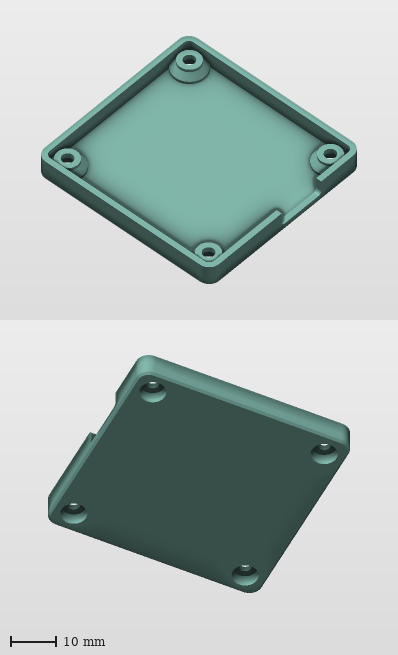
import cadquery as cq

length = 52.0
width = 50.0
height = 6.0
wall = 1.5
floor = 1.5
corner_radius = 3.0
bottom_chamfer = 0.5

boss_spacing_x = 42.0
boss_spacing_y = 40.0
boss_top_diameter = 6.0
boss_base_diameter = 9.0
boss_height = 3.0
boss_base_rim = 0.75
boss_top_rim = 0.8
hole_diameter = 3.0
head_recess_diameter = 6.0
seat_thickness = 1.45

notch_width = 13.0
notch_center_y = 5.0
notch_bottom = 2.0
notch_radius = 1.0

inner_length = length - 2 * wall
inner_width = width - 2 * wall


def rounded_block(size_x, size_y, base_z, block_height, radius):
    """Block centred on the Z axis with rounded vertical edges."""
    block = cq.Workplane("XY").workplane(offset=base_z).rect(size_x, size_y).extrude(block_height)
    return block.edges("|Z").fillet(radius)


def make_boss():
    """Stepped conical boss on the Z axis, continuing down into the floor."""
    top_z = floor + boss_height
    base_radius = boss_base_diameter / 2
    top_radius = boss_top_diameter / 2
    embedded_z = floor / 2
    profile = [
        (0, embedded_z),
        (base_radius, embedded_z),
        (base_radius, floor + boss_base_rim),
        (top_radius, top_z - boss_top_rim),
        (top_radius, top_z),
        (0, top_z),
    ]
    return cq.Workplane("XZ").polyline(profile).close().revolve(360, (0, 0, 0), (0, 1, 0))


def make_notch():
    """Cutter for the +X wall, with rounded lower corners."""
    cutter_height = height - notch_bottom + notch_radius
    cutter = cq.Workplane("XY").box(2 * wall, notch_width, cutter_height, centered=(True, True, False))
    cutter = cutter.edges("|X and <Z").fillet(notch_radius)
    return cutter.translate((inner_length / 2 + wall, notch_center_y, notch_bottom))


body = rounded_block(length, width, 0, height, corner_radius)
body = body.faces("<Z").edges().chamfer(bottom_chamfer)
cavity = rounded_block(inner_length, inner_width, floor, height, corner_radius - wall)
body = body.cut(cavity)
body = body.cut(make_notch())

boss_room = rounded_block(inner_length, inner_width, 0, height, corner_radius - wall)
for side_x in (-1, 1):
    for side_y in (-1, 1):
        position = (side_x * boss_spacing_x / 2, side_y * boss_spacing_y / 2, 0)
        body = body.union(make_boss().translate(position).intersect(boss_room))



def bores_at_bosses(diameter, depth):
    """Four cylinders on the boss axes, rising from the underside."""
    return (
        cq.Workplane("XY")
        .rect(boss_spacing_x, boss_spacing_y, forConstruction=True)
        .vertices()
        .circle(diameter / 2)
        .extrude(depth)
    )


body = body.cut(bores_at_bosses(hole_diameter, height))
head_recess_depth = floor + boss_height - seat_thickness
result = body.cut(bores_at_bosses(head_recess_diameter, head_recess_depth))